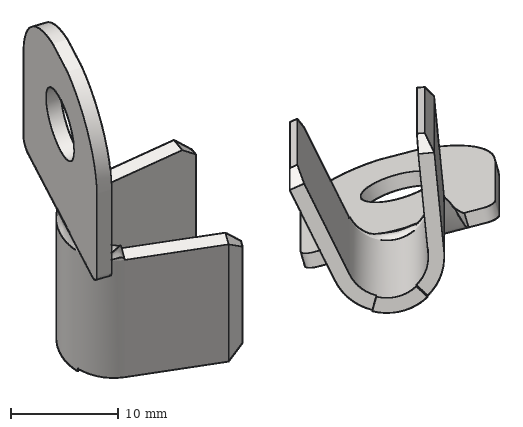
import cadquery as cq
import math

thickness = 1.5
total_height = 41.55
total_depth = 15.85

plate_width = 18.8
plate_bottom = 19.45
plate_corner_radius = 1.25
head_center_z = 32.3
eye_center_z = 32.2
eye_diameter = 7.2

barrel_bottom = 0.37
barrel_top = 16.85
barrel_outer_radius = 5.35
wing_splay = math.radians(10)
wing_tip_chamfer = thickness
wing_tip_bevel_depth = thickness / 2

tab_half_angle = math.radians(30)

neck_steps = 6
neck_setback = 0.35
neck_waist = 0.62

barrel_half_angle = math.pi / 2 - wing_splay
barrel_mid_radius = barrel_outer_radius - thickness / 2
neck_half_length = barrel_mid_radius * barrel_half_angle


def trough_section(z, mid_radius, half_angle, front_y=0.0):
    """Sheet cross-section bent to an arc, lowest at front_y, spanning half_angle each side."""
    outer = mid_radius + thickness / 2
    inner = mid_radius - thickness / 2
    center_y = front_y + outer

    def point(radius, angle):
        return radius * math.sin(angle), center_y - radius * math.cos(angle)

    return (
        cq.Workplane("XY", origin=(0, 0, z))
        .moveTo(*point(outer, -half_angle))
        .threePointArc(point(outer, 0), point(outer, half_angle))
        .lineTo(*point(inner, half_angle))
        .threePointArc(point(inner, 0), point(inner, -half_angle))
        .close()
    )


def make_plate():
    half_width = plate_width / 2
    plate_center_z = (plate_bottom + total_height) / 2
    head = cq.Workplane("XZ", origin=(0, 0, head_center_z)).circle(half_width).extrude(-thickness)
    body = (
        cq.Workplane("XZ")
        .moveTo(-half_width, plate_bottom)
        .lineTo(half_width, plate_bottom)
        .lineTo(half_width, head_center_z)
        .lineTo(-half_width, head_center_z)
        .close()
        .extrude(-thickness)
        .edges("|Y and <Z")
        .fillet(plate_corner_radius)
    )
    limits = cq.Workplane("XY").box(plate_width, 2 * thickness, total_height - plate_bottom)
    limits = limits.translate((0, 0, plate_center_z))
    eye = cq.Workplane("XZ", origin=(0, 0, eye_center_z)).circle(eye_diameter / 2).extrude(-thickness)
    return body.union(head).intersect(limits).cut(eye)


def make_wing():
    """Wing on the +X side, running tangentially from the end of the barrel arc."""
    root_x = barrel_outer_radius * math.cos(wing_splay)
    root_y = barrel_outer_radius * (1 - math.sin(wing_splay))
    inner_root_y = root_y + thickness * math.sin(wing_splay)
    length = (total_depth - inner_root_y) / math.cos(wing_splay)
    frame = cq.Plane(
        origin=(root_x, root_y, barrel_bottom),
        xDir=(math.sin(wing_splay), math.cos(wing_splay), 0),
        normal=(0, 0, 1),
    )
    height = barrel_top - barrel_bottom
    wing = (
        cq.Workplane("XY")
        .polyline([
            (0, 0),
            (length - wing_tip_chamfer, 0),
            (length, wing_tip_bevel_depth),
            (length, thickness),
            (0, thickness),
        ])
        .close()
        .extrude(height)
    )
    side_outline = (
        cq.Workplane("XZ")
        .rect(length, height, centered=False)
        .extrude(-thickness)
        .edges("|Y and >X")
        .chamfer(wing_tip_chamfer)
    )
    solid = wing.intersect(side_outline).val().moved(cq.Location(frame))
    return cq.Workplane(solid)


def make_neck():
    """Sheet that uncurls smoothly from the barrel arc to the flat plate, slightly waisted between."""
    wires = []
    for step in range(neck_steps):
        rise = step / neck_steps
        z = barrel_top + rise * (plate_bottom - barrel_top)
        curl = 1 - rise ** 2 * (3 - 2 * rise)
        bow = 4 * rise * (1 - rise)
        half_angle = barrel_half_angle * curl
        half_length = neck_half_length - neck_waist * bow
        section = trough_section(z, half_length / half_angle, half_angle, neck_setback * bow)
        wires.append(section.val())
    flat_end = (
        cq.Workplane("XY", origin=(-neck_half_length, 0, plate_bottom))
        .rect(2 * neck_half_length, thickness, centered=False)
    )
    wires.append(flat_end.val())
    return cq.Workplane(cq.Solid.makeLoft(wires, False))


barrel = trough_section(barrel_bottom, barrel_mid_radius, barrel_half_angle)
barrel = barrel.extrude(barrel_top - barrel_bottom)
tab = trough_section(0, barrel_mid_radius, tab_half_angle).extrude(barrel_bottom)
wing = make_wing()

result = (
    make_plate()
    .union(make_neck())
    .union(barrel)
    .union(tab)
    .union(wing)
    .union(wing.mirror("YZ"))
)